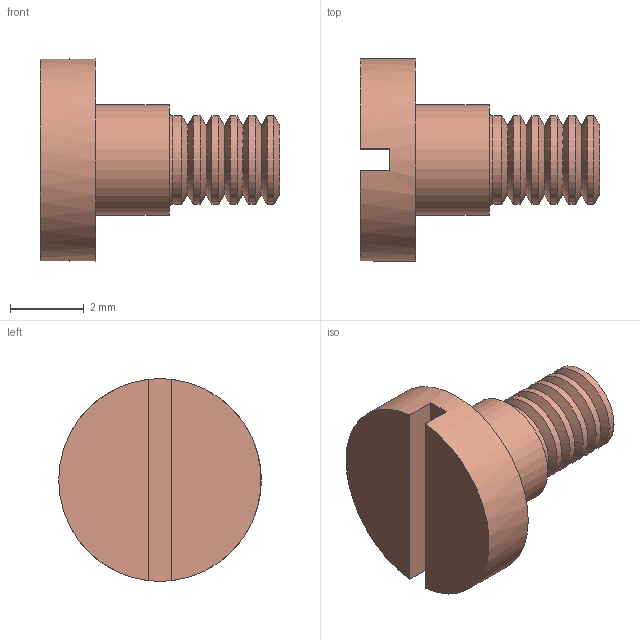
import cadquery as cq
import math

head_diameter = 5.5
head_length = 1.5
shoulder_diameter = 3.0
shoulder_length = 2.0
thread_diameter = 2.4
thread_core_diameter = 1.85
thread_length = 3.0
slot_width = 0.6
slot_depth = 0.8

thread_pitch = 0.5
groove_count = 5
flank_angle = math.radians(30)
root_fillet_radius = 0.1

thread_radius = thread_diameter / 2
core_radius = thread_core_diameter / 2
groove_half_width = (thread_radius - core_radius) * math.tan(flank_angle)
shoulder_end = head_length + shoulder_length
screw_length = shoulder_end + thread_length


def make_cylinder(start_x, length, diameter):
    """Solid cylinder along X."""
    return cq.Workplane("YZ").workplane(offset=start_x).circle(diameter / 2).extrude(length)


def make_threaded_shank():
    """Revolve the half profile of the shank: root fillet, grooves and tapered tip."""
    profile = (
        cq.Workplane("XZ")
        .moveTo(shoulder_end, 0)
        .lineTo(shoulder_end, thread_radius + root_fillet_radius)
        .radiusArc((shoulder_end + root_fillet_radius, thread_radius), -root_fillet_radius)
    )
    for pitches_from_tip in range(groove_count, 0, -1):
        groove_x = screw_length - pitches_from_tip * thread_pitch
        profile = (
            profile.lineTo(groove_x - groove_half_width, thread_radius)
            .lineTo(groove_x, core_radius)
            .lineTo(groove_x + groove_half_width, thread_radius)
        )
    profile = (
        profile.lineTo(screw_length - groove_half_width, thread_radius)
        .lineTo(screw_length, core_radius)
        .lineTo(screw_length, 0)
        .close()
    )
    return profile.revolve(360, (0, 0, 0), (1, 0, 0))


def make_slot():
    """Screwdriver slot cutter, running along Z right across the head face."""
    return cq.Workplane("XY").box(
        slot_depth, slot_width, 2 * head_diameter, centered=(False, True, True)
    )


head = make_cylinder(0, head_length, head_diameter).cut(make_slot())
shoulder = make_cylinder(head_length, shoulder_length, shoulder_diameter)
result = head.union(shoulder).union(make_threaded_shank())